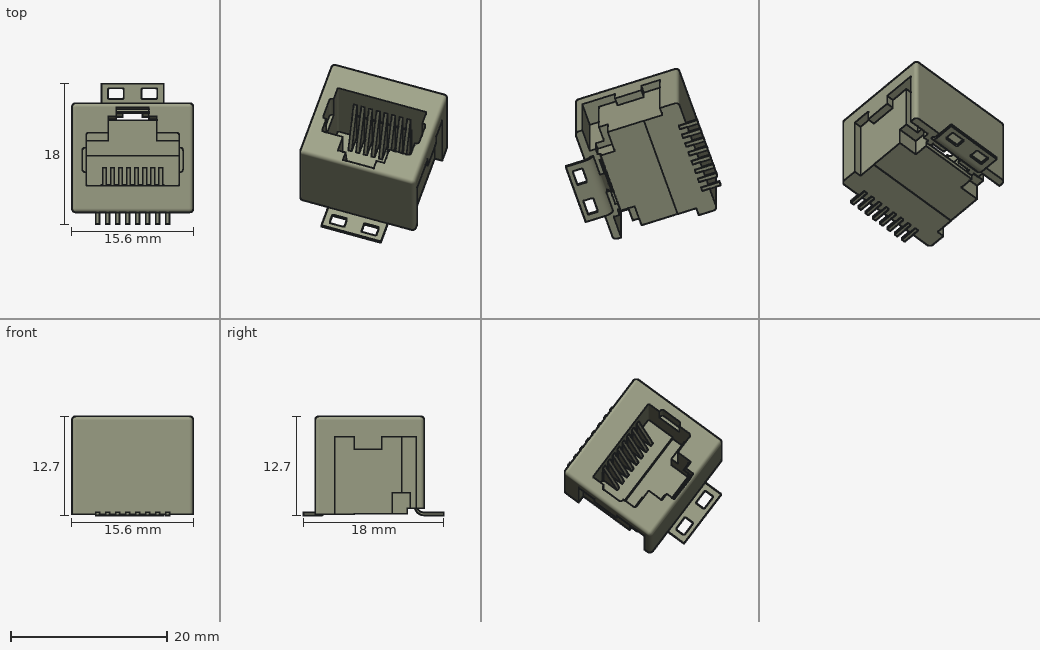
import cadquery as cq


width = 15.55
depth = 14.0
top_z = 12.7
edge_radius = 0.5
front_foot_z = 0.15
base_z = 0.2
rear_foot_z = 0.92
front_foot_end_y = 5.0
base_end_y = 11.8

cavity_half_width = 5.95
cavity_front_y = 3.42
cavity_rear_y = 10.2
cavity_rear_radius = 0.32
cavity_front_radius = 0.16
floor_edge_y = 9.18
ledge_z = 5.0
front_floor_z = 2.0
rear_floor_z = 1.0
floor_step_y = 7.27

channel_half_width = 3.11
through_half_width = 3.19
latch_half_width = 2.07
shoulder_top_y = 12.31
shoulder_low_y = 11.9
latch_top_y = 13.48
latch_low_y = 13.2
lead_in_z = 10.26

slot_half_span = 6.45
slot_front_y = 5.17
slot_rear_y = 8.3
slot_floor_z = 8.71
slot_radius = 0.36

recess_depth = 1.0
recess_front_y = 2.5
recess_rear_y = 12.98
recess_top_z = 10.08
bulge_front_y = front_foot_end_y
bulge_rear_y = 8.57
bulge_bottom_z = 8.5
pocket_front_y = 11.07
pocket_depth = 2.99
notch_front_y = 9.88
notch_rear_y = 12.19
notch_top_z = 2.9
notch_depth = 3.78

metal_thickness = 0.4
tab_half_width = 4.0
tab_end_y = 16.5
sheet_thickness = 0.2
sheet_front_y = 12.73
sheet_top_z = 5.94
window_offset_x = 2.15
window_width = 2.0
window_front_y = 14.55
window_rear_y = 15.88
window_radius = 0.15
wedge_inner_x = 1.26
wedge_front_y = 12.2
wedge_height = 0.9

pin_count = 8
pin_pitch = 1.28
pin_width = 0.5
pin_tip_y = -1.5
pin_end_y = 1.0
pin_heel_radius = 0.16
contact_pitch = 1.03
contact_width = 0.47
contact_end_y = 5.72
contact_top_z = 9.9
contact_root_depth = 0.72
contact_bend_radius = 0.54
contact_rib_depth = 0.15
contact_rib_top_z = 7.2


def box(x0, x1, y0, y1, z0, z1):
    """Block between two opposite corners."""
    return cq.Workplane("XY").box(x1 - x0, y1 - y0, z1 - z0, centered=False).translate((x0, y0, z0))


def centred_box(half_width, y0, y1, z0, z1):
    """Block symmetric about X = 0."""
    return box(-half_width, half_width, y0, y1, z0, z1)


def profile_prism(points, x0, x1):
    """YZ outline extruded from x0 to x1."""
    return cq.Workplane("YZ").polyline(points).close().extrude(x1 - x0).translate((x0, 0, 0))


def both_sides(solid):
    """The solid together with its mirror image in X = 0."""
    return solid.union(solid.mirror("YZ"))


def row(count, pitch, solid):
    """Evenly spaced copies of a solid along X, centred on X = 0."""
    copies = cq.Workplane("XY")
    for index in range(count):
        copies = copies.add(solid.translate(((index - (count - 1) / 2) * pitch, 0, 0)))
    return copies.combine()


def housing_block():
    """Outer block with rounded upper edges and a stepped underside."""
    block = centred_box(width / 2, 0, depth, front_foot_z, top_z)
    block = block.edges("|Z or >Z").fillet(edge_radius)
    base_gap = centred_box(width / 2, front_foot_end_y, depth, 0, base_z)
    rear_gap = centred_box(width / 2, base_end_y, depth, 0, rear_foot_z)
    return block.cut(base_gap).cut(rear_gap)


def plug_cavity():
    """Plug opening, with a stepped floor and ledges beside the latch channel."""
    upper = centred_box(cavity_half_width, floor_step_y, cavity_rear_y, ledge_z, top_z)
    upper = upper.edges("|Z and >Y").fillet(cavity_rear_radius)
    front = centred_box(cavity_half_width, cavity_front_y, floor_step_y, front_floor_z, top_z)
    front = front.edges("|Z and <Y").fillet(cavity_front_radius)
    rear = centred_box(cavity_half_width, floor_step_y, floor_edge_y, rear_floor_z, top_z)
    channel = centred_box(channel_half_width, floor_step_y, base_end_y, rear_floor_z, top_z)
    slots = centred_box(slot_half_span, slot_front_y, slot_rear_y, slot_floor_z, top_z)
    slots = slots.edges("|Z").fillet(slot_radius)
    return upper.union(front).union(rear).union(channel).union(slots)


def lead_in(half_width, top_y, low_y):
    """Opening at the top of the latch channel with a sloping rear wall."""
    outline = [(base_end_y, top_z), (top_y, top_z), (low_y, lead_in_z), (base_end_y, lead_in_z)]
    return profile_prism(outline, -half_width, half_width)


def latch_channel():
    """Two lead-ins above a channel that passes out through the underside."""
    through = centred_box(through_half_width, base_end_y, latch_low_y, 0, lead_in_z)
    shoulders = lead_in(channel_half_width, shoulder_top_y, shoulder_low_y)
    latch = lead_in(latch_half_width, latch_top_y, latch_low_y)
    return through.union(shoulders).union(latch)


def side_recesses():
    """Shallow panel recess, deeper rear pocket and low notch on each side."""
    outer_x = -width / 2
    panel = box(outer_x, outer_x + recess_depth, recess_front_y, recess_rear_y, 0, recess_top_z)
    bulge = box(outer_x, outer_x + recess_depth, bulge_front_y, bulge_rear_y, bulge_bottom_z, recess_top_z)
    pocket = box(outer_x, outer_x + pocket_depth, pocket_front_y, recess_rear_y, 0, recess_top_z)
    notch = box(outer_x, outer_x + notch_depth, notch_front_y, notch_rear_y, 0, notch_top_z)
    return both_sides(panel.cut(bulge).union(pocket).union(notch))


def solder_tab():
    """Flat rear tab with two windows, bent up into a thin sheet inside the latch channel."""
    outer_radius = depth - sheet_front_y
    inner_radius = outer_radius - sheet_thickness
    sheet_rear_y = sheet_front_y + sheet_thickness
    tab = (
        cq.Workplane("YZ")
        .moveTo(tab_end_y, 0)
        .lineTo(depth, 0)
        .radiusArc((sheet_front_y, outer_radius), outer_radius)
        .lineTo(sheet_front_y, sheet_top_z)
        .lineTo(sheet_rear_y, sheet_top_z)
        .lineTo(sheet_rear_y, metal_thickness + inner_radius)
        .radiusArc((depth, metal_thickness), -inner_radius)
        .lineTo(tab_end_y, metal_thickness)
        .close()
        .extrude(tab_half_width, both=True)
    )
    window = box(
        window_offset_x - window_width / 2,
        window_offset_x + window_width / 2,
        window_front_y,
        window_rear_y,
        0,
        metal_thickness,
    )
    return tab.cut(both_sides(window.edges("|Z").fillet(window_radius)))


def channel_wedges():
    """Sloping blocks in the lower corners of the latch channel, in front of the sheet."""
    outline = [
        (wedge_front_y, rear_foot_z),
        (sheet_front_y + sheet_thickness, rear_foot_z),
        (sheet_front_y, rear_foot_z + wedge_height),
    ]
    return both_sides(profile_prism(outline, wedge_inner_x, through_half_width))


def pins():
    """Solder pins along the front edge of the underside."""
    pin = box(-pin_width / 2, pin_width / 2, pin_tip_y, pin_end_y, 0, metal_thickness)
    return row(pin_count, pin_pitch, pin.edges(">Y and <Z").fillet(pin_heel_radius))


def contacts():
    """Contacts bending out of the front cavity wall and sloping to the floor, and a rib between them."""
    root_y = cavity_front_y - contact_root_depth
    outline = [
        (root_y, front_floor_z),
        (contact_end_y, front_floor_z),
        (cavity_front_y, contact_top_z),
        (root_y, contact_top_z),
    ]
    contact = profile_prism(outline, -contact_width / 2, contact_width / 2)
    contact = contact.faces(">Z").edges(">Y").fillet(contact_bend_radius)
    rib_end_y = cavity_front_y + contact_rib_depth
    rib = centred_box(tab_half_width, cavity_front_y, rib_end_y, front_floor_z, contact_rib_top_z)
    return row(pin_count, contact_pitch, contact).union(rib)


housing = housing_block().cut(plug_cavity()).cut(latch_channel()).cut(side_recesses())
result = housing.union(solder_tab()).union(channel_wedges()).union(pins()).union(contacts())